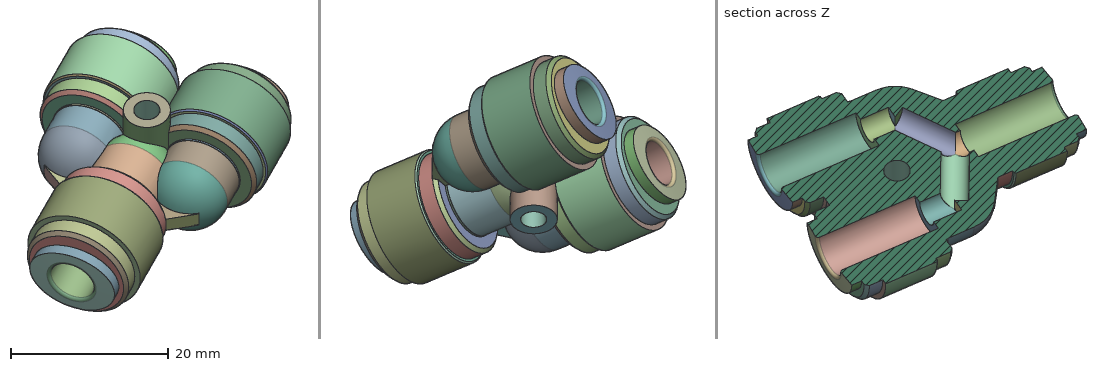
import math

import cadquery as cq

OVERALL_LENGTH = 38.8
PORT_Y = OVERALL_LENGTH / 2
SLEEVE_DIAMETER = 15.5
SLEEVE_OVERLAP = 0.01
OUTLET_X = (SLEEVE_DIAMETER - SLEEVE_OVERLAP) / 2

COLLET_END = 1.6
CAP_END = 4.05
SLEEVE_END = 11.7
RIM_END = 14.3
COLLAR_END = 14.55
OUTLET_DOME_DEPTH = 18.35
INLET_DOME_DEPTH = OVERALL_LENGTH - OUTLET_DOME_DEPTH

CAP_DIAMETER = 14.0
CAP_CHAMFER = 0.5
SLEEVE_CHAMFER = 0.2
RIM_DIAMETER = 14.4
RIM_CHAMFER = 0.5
COLLAR_DIAMETER = 10.3
NECK_DIAMETER = 10.2

COLLET_WIDTH = 11.7
COLLET_HEIGHT = 9.5
COLLET_TRIM = 1.0
COLLET_FACE_DROP = 0.25

BORE_DIAMETER = 6.0
BORE_DEPTH = RIM_END
BORE_MOUTH_FILLET = 0.4
PASSAGE_DIAMETER = 3.6
JUNCTION_DEPTH = 16.0

BOSS_DIAMETER = 6.0
BOSS_HOLE_DIAMETER = 3.3
BOSS_HEIGHT = SLEEVE_DIAMETER
BOSS_Y = PORT_Y - RIM_END
WEB_THICKNESS = 2.1
WEB_STANDOFF = 0.01

DOME_Y = PORT_Y - OUTLET_DOME_DEPTH
JUNCTION_Y = JUNCTION_DEPTH - PORT_Y


def revolve_about_y(profile):
    """Revolve a closed (radius, y) profile a full turn about the Y axis."""
    return profile.close().revolve(360, (0, 0, 0), (0, 1, 0))


def port_body(dome_depth):
    """Cap, sleeve, rim and domed neck of a port, running along +Y from a tip at y = 0."""
    cap = CAP_DIAMETER / 2
    sleeve = SLEEVE_DIAMETER / 2
    rim = RIM_DIAMETER / 2
    collar = COLLAR_DIAMETER / 2
    neck = NECK_DIAMETER / 2
    dome_mid = neck * math.sqrt(0.5)
    profile = (
        cq.Workplane("XY")
        .moveTo(0, COLLET_END)
        .lineTo(cap - CAP_CHAMFER, COLLET_END)
        .lineTo(cap, COLLET_END + CAP_CHAMFER)
        .lineTo(cap, CAP_END)
        .lineTo(sleeve, CAP_END)
        .lineTo(sleeve, SLEEVE_END - SLEEVE_CHAMFER)
        .lineTo(sleeve - SLEEVE_CHAMFER, SLEEVE_END)
        .lineTo(rim, SLEEVE_END)
        .lineTo(rim, RIM_END - RIM_CHAMFER)
        .lineTo(rim - RIM_CHAMFER, RIM_END)
        .lineTo(collar, RIM_END)
        .lineTo(collar, COLLAR_END)
        .lineTo(neck, COLLAR_END)
        .lineTo(neck, dome_depth)
        .threePointArc((dome_mid, dome_depth + dome_mid), (0, dome_depth + neck))
    )
    return revolve_about_y(profile)


def collet():
    """Release collet, tip at y = 0, reaching into the cap."""
    half_width = COLLET_WIDTH / 2
    blank_radius = half_width + COLLET_TRIM
    mouth_radius = BORE_DIAMETER / 2 + BORE_MOUTH_FILLET
    profile = (
        cq.Workplane("XY")
        .lineTo(mouth_radius, 0)
        .lineTo(blank_radius, COLLET_FACE_DROP)
        .lineTo(blank_radius, CAP_END)
        .lineTo(0, CAP_END)
    )
    oval = cq.Workplane("XZ").ellipse(half_width, COLLET_HEIGHT / 2).extrude(-CAP_END)
    return revolve_about_y(profile).intersect(oval)


def port_bore():
    """Tube socket with a rounded mouth, starting at y = 0."""
    bore = BORE_DIAMETER / 2
    mouth = bore + BORE_MOUTH_FILLET
    arc_in = BORE_MOUTH_FILLET * (1 - math.sqrt(0.5))
    profile = (
        cq.Workplane("XY")
        .lineTo(mouth, 0)
        .threePointArc((bore + arc_in, arc_in), (bore, BORE_MOUTH_FILLET))
        .lineTo(bore, BORE_DEPTH)
        .lineTo(0, BORE_DEPTH)
    )
    return revolve_about_y(profile)


def at_inlet(shape):
    return shape.translate((0, -PORT_Y, 0))


def at_outlet(shape, side):
    turned = shape.rotate((0, 0, 0), (0, 0, 1), 180)
    return turned.translate((side * OUTLET_X, PORT_Y, 0))


def web():
    """Flat web whose slanted edges run from the inlet rim past the outlet domes, nearly tangent."""
    tangent_radius = NECK_DIAMETER / 2 + WEB_STANDOFF
    rim_x = RIM_DIAMETER / 2
    rim_y = RIM_END - RIM_CHAMFER - PORT_Y
    to_dome_x = OUTLET_X - rim_x
    to_dome_y = DOME_Y - rim_y
    distance = math.hypot(to_dome_x, to_dome_y)
    tangent_length = math.sqrt(distance**2 - tangent_radius**2)
    tangent_angle = math.atan2(to_dome_y, to_dome_x) - math.asin(tangent_radius / distance)
    tangent_x = rim_x + tangent_length * math.cos(tangent_angle)
    tangent_y = rim_y + tangent_length * math.sin(tangent_angle)
    inner_x = (tangent_x + OUTLET_X) / 2
    inner_y = (tangent_y + DOME_Y) / 2
    outline = [
        (rim_x, rim_y),
        (tangent_x, tangent_y),
        (inner_x, inner_y),
        (-inner_x, inner_y),
        (-tangent_x, tangent_y),
        (-rim_x, rim_y),
    ]
    return cq.Workplane("XY").polyline(outline).close().extrude(WEB_THICKNESS / 2, both=True)


def passage(start, end):
    """Round flow passage between two points in the XY plane."""
    start_point = cq.Vector(*start)
    direction = cq.Vector(*end) - start_point
    return cq.Workplane(
        cq.Solid.makeCylinder(PASSAGE_DIAMETER / 2, direction.Length, start_point, direction)
    )


def boss_cylinder(diameter):
    """Upright cylinder at the boss position; its seam faces +Y, clear of the outlet rim faces."""
    boss_plane = cq.Plane(origin=(0, BOSS_Y, 0), xDir=(0, 1, 0), normal=(0, 0, 1))
    return cq.Workplane(boss_plane).circle(diameter / 2).extrude(BOSS_HEIGHT / 2, both=True)


inlet_port = port_body(INLET_DOME_DEPTH).union(collet())
outlet_port = port_body(OUTLET_DOME_DEPTH).union(collet())
result = web().union(boss_cylinder(BOSS_DIAMETER)).union(at_inlet(inlet_port))
for side in (-1, 1):
    result = result.union(at_outlet(outlet_port, side))

junction = (0, JUNCTION_Y)
result = result.cut(at_inlet(port_bore()))
result = result.cut(passage((0, BORE_DEPTH - PORT_Y), junction))
for side in (-1, 1):
    dome_centre = (side * OUTLET_X, DOME_Y)
    outlet_socket_floor = (side * OUTLET_X, PORT_Y - BORE_DEPTH)
    result = result.cut(at_outlet(port_bore(), side))
    result = result.cut(passage(junction, dome_centre))
    result = result.cut(passage(dome_centre, outlet_socket_floor))
result = result.cut(boss_cylinder(BOSS_HOLE_DIAMETER))